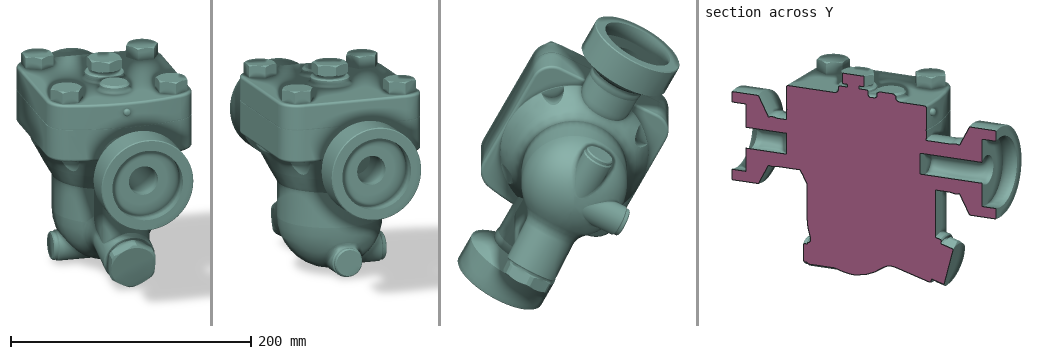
import cadquery as cq
import math


bowl_radius = 44.0
dome_center_z = -62.5
cone_bottom_z = -32.2
cone_middle_z = -19.0
cone_middle_radius = 51.7
cone_top_z = -0.2
cone_top_radius = 61.7

half_width = 62.5
corner_radius = 17.2
bowed_corner_radius = 19.0
corner_center = half_width - corner_radius
bow_reach = 69.0
bow_reach_bottom = 67.5
flange_bottom_z = 1.5
joint_z = 29.5
cover_top_z = 51.2
gasket_thickness = 0.7
gasket_inset = 0.5
cover_fillet = 2.2
flange_fillet = 2.2

bolt_flats = 24.0
bolt_head_height = 10.5
nut_relief_diameter = 21.0
nut_relief_depth = 19.7

boss_height = 6.5
boss_base_fillet = 3.0
main_boss_diameter = 33.0
main_boss_chamfer = 1.0
side_boss_diameter = 25.0
side_boss_top_diameter = 22.0
side_boss_x = 31.0
bridge_width = 14.8
bridge_height = 3.7
plug_neck_diameter = 21.0
plug_neck_height = 2.0
plug_flats = 26.5
plug_height = 9.5
plug_chamfer_diameter = 26.0
pin_diameter = 6.5
pin_end_x = 72.3
pin_end_fillet = 2.5
pin_z = 43.3

inlet_x = -113.0
outlet_x = 133.0
end_diameter = 79.5
end_length = 24.8
end_chamfer = 0.7
taper_length = 9.3
weld_length = 7.6
weld_bulge = 0.7
pipe_diameter = 46.0
socket_diameter = 61.0
socket_depth = 13.0
bore_diameter = 25.0

tube_angle = 15.0
tube_diameter = 44.0
tube_length = 80.2
tube_chamfer = 1.0
tube_blend = 15.0
cap_neck_diameter = 38.0
cap_start = 82.0
cap_flats = 38.0
cap_height = 10.3
cap_corner_diameter = 41.8
rib_half_width = 20.2
rib_end_x = 77.0
rib_edge_radius = 11.8
rib_bottom_z = -76.3

drain_z = -92.7
drain_diameter = 26.0
drain_reach = 44.0
drain_chamfer = 2.0
drain_plug_diameter = 24.0
drain_plug_reach = 46.5
drain_plug_chamfer = 1.0
drain_blend = 3.5


def cylinder(origin, direction, diameter, length):
    plane = cq.Plane(origin=origin, normal=direction)
    return cq.Workplane(plane).circle(diameter / 2).extrude(length)


def hex_prism(flats, height, chamfer_diameter, both_ends, corner_diameter=None):
    """Hexagon standing on Z = 0 whose end corners are turned off at 30 degrees.

    A corner diameter also rounds the six upright corners down to that diameter.
    """
    across_corners = flats / math.cos(math.radians(30))
    prism = cq.Workplane("XY").polygon(6, across_corners).extrude(height)
    top_radius = chamfer_diameter / 2
    outer_radius = (corner_diameter or across_corners) / 2
    drop = (outer_radius - top_radius) * math.tan(math.radians(30))
    turned = cq.Workplane("XZ")
    if both_ends:
        turned = turned.moveTo(0, 0).lineTo(top_radius, 0).lineTo(outer_radius, drop)
    else:
        turned = turned.moveTo(0, 0).lineTo(outer_radius, 0)
    turned = turned.lineTo(outer_radius, height - drop).lineTo(top_radius, height).lineTo(0, height)
    turned = turned.close().revolve(360, (0, 0, 0), (0, 1, 0))
    return prism.intersect(turned)


def square_outline(z, reach, inset=0):
    """Rounded square with its +X side bowed out to the given reach, shrunk evenly by the inset.

    The bowed arc runs tangent into both corner arcs.
    """
    side = half_width - inset
    plain_radius = corner_radius - inset
    plain_mid = corner_center + plain_radius * math.sqrt(0.5)
    bowed_center = half_width - bowed_corner_radius
    bowed_radius = bowed_corner_radius - inset
    overhang = reach - bowed_center
    bow_radius = ((overhang**2 + bowed_center**2 - bowed_corner_radius**2)
                  / (2 * (overhang - bowed_corner_radius)))
    bow_angle = math.atan2(bowed_center, bow_radius - overhang)
    tangent_x = bowed_center + bowed_radius * math.cos(bow_angle)
    tangent_y = bowed_center + bowed_radius * math.sin(bow_angle)
    mid_angle = (bow_angle + math.pi / 2) / 2
    mid_x = bowed_center + bowed_radius * math.cos(mid_angle)
    mid_y = bowed_center + bowed_radius * math.sin(mid_angle)
    return (
        cq.Workplane("XY", origin=(0, 0, z))
        .moveTo(-corner_center, -side)
        .lineTo(bowed_center, -side)
        .threePointArc((mid_x, -mid_y), (tangent_x, -tangent_y))
        .threePointArc((reach - inset, 0), (tangent_x, tangent_y))
        .threePointArc((mid_x, mid_y), (bowed_center, side))
        .lineTo(-corner_center, side)
        .threePointArc((-plain_mid, plain_mid), (-side, corner_center))
        .lineTo(-side, -corner_center)
        .threePointArc((-plain_mid, -plain_mid), (-corner_center, -side))
        .close()
    )


def make_bowl():
    return (
        cq.Workplane("XZ")
        .moveTo(0, dome_center_z - bowl_radius)
        .radiusArc((bowl_radius, dome_center_z), -bowl_radius)
        .lineTo(bowl_radius, cone_bottom_z)
        .lineTo(cone_middle_radius, cone_middle_z)
        .lineTo(cone_top_radius, cone_top_z)
        .lineTo(cone_top_radius, flange_bottom_z + flange_fillet)
        .lineTo(0, flange_bottom_z + flange_fillet)
        .close()
        .revolve(360, (0, 0, 0), (0, 1, 0))
    )


def make_body_flange():
    """Lower flange; its bowed side leans inward toward the bottom."""
    bottom = square_outline(flange_bottom_z, bow_reach_bottom).wires().val()
    top = square_outline(joint_z, bow_reach).wires().val()
    flange = cq.Workplane(cq.Solid.makeLoft([bottom, top], True))
    return flange.faces("<Z").edges().fillet(flange_fillet)


def make_cover():
    gasket = square_outline(joint_z, bow_reach, gasket_inset).extrude(gasket_thickness)
    cover_bottom = joint_z + gasket_thickness
    cover = square_outline(cover_bottom, bow_reach).extrude(cover_top_z - cover_bottom)
    cover = cover.faces(">Z").edges().fillet(cover_fillet)
    cover = add_cover_bosses(cover)
    return cover.union(gasket)


def add_cover_bosses(cover):
    """Two round bosses joined by a low bridge, with a common fillet at their foot."""
    up = (0, 0, 1)
    main_boss = cylinder((0, 0, cover_top_z), up, main_boss_diameter, boss_height)
    main_boss = main_boss.faces(">Z").chamfer(main_boss_chamfer)
    side_boss = cylinder((side_boss_x, 0, cover_top_z), up, side_boss_diameter, boss_height)
    side_boss = side_boss.faces(">Z").chamfer((side_boss_diameter - side_boss_top_diameter) / 2)
    bridge = cq.Workplane("XY", origin=(side_boss_x / 2, 0, cover_top_z))
    bridge = bridge.rect(side_boss_x, bridge_width).extrude(bridge_height)
    bosses = main_boss.union(side_boss).union(bridge)
    foot_margin = boss_base_fillet / 10
    foot = cq.selectors.BoxSelector(
        (-main_boss_diameter, -main_boss_diameter, cover_top_z - foot_margin),
        (side_boss_x + side_boss_diameter, main_boss_diameter, cover_top_z + foot_margin),
    )
    return cover.union(bosses).edges(foot).fillet(boss_base_fillet)


def add_cover_hardware(part):
    neck_z = cover_top_z + boss_height
    part = part.union(cylinder((0, 0, neck_z), (0, 0, 1), plug_neck_diameter, plug_neck_height))
    plug = hex_prism(plug_flats, plug_height, plug_chamfer_diameter, True)
    part = part.union(plug.translate((0, 0, neck_z + plug_neck_height)))
    for side_x in (-1, 1):
        for side_y in (-1, 1):
            corner_angle = 0 if side_x == side_y else 30
            head = hex_prism(bolt_flats, bolt_head_height, bolt_flats, False)
            head = head.rotate((0, 0, 0), (0, 0, 1), corner_angle)
            part = part.union(head.translate((side_x * corner_center, side_y * corner_center, cover_top_z)))
    pin = cylinder((corner_center, 0, pin_z), (1, 0, 0), pin_diameter, pin_end_x - corner_center)
    return part.union(pin.faces(">X").edges().fillet(pin_end_fillet))


def cut_nut_reliefs(bowl):
    for side_x in (-1, 1):
        for side_y in (-1, 1):
            origin = (side_x * corner_center, side_y * corner_center, cone_top_z)
            relief = cylinder(origin, (0, 0, -1), nut_relief_diameter, nut_relief_depth)
            bowl = bowl.cut(relief)
    return bowl


def make_end(end_x):
    """Pipe with weld bead, tapered hub and end ring, from the bowl axis out to end_x."""
    out = math.copysign(1, end_x)
    ring_start = end_x - out * end_length
    weld_outer = ring_start - out * taper_length
    weld_inner = weld_outer - out * weld_length
    pipe_radius = pipe_diameter / 2
    end_radius = end_diameter / 2
    return (
        cq.Workplane("XY")
        .lineTo(0, pipe_radius)
        .lineTo(weld_inner, pipe_radius)
        .threePointArc(((weld_inner + weld_outer) / 2, pipe_radius + weld_bulge), (weld_outer, pipe_radius))
        .lineTo(ring_start, end_radius)
        .lineTo(end_x - out * end_chamfer, end_radius)
        .lineTo(end_x, end_radius - end_chamfer)
        .lineTo(end_x, 0)
        .close()
        .revolve(360, (0, 0, 0), (1, 0, 0))
    )


def make_end_bore(end_x):
    """Welding socket and bore, reaching in as far as the side of the body flange."""
    inward = (-math.copysign(1, end_x), 0, 0)
    socket = cylinder((end_x, 0, 0), inward, socket_diameter, socket_depth)
    bore = cylinder((end_x, 0, 0), inward, bore_diameter, abs(end_x) - half_width)
    return socket.union(bore)


def make_strainer():
    """Sloping tube aimed at the dome center, blended into the dome, with a hexagon cap."""
    tube_radius = tube_diameter / 2
    blend_offset = tube_radius + tube_blend
    blend_reach = bowl_radius + tube_blend
    blend_end = math.sqrt(blend_reach**2 - blend_offset**2)
    dome_share = bowl_radius / blend_reach
    tube = (
        cq.Workplane("XZ")
        .lineTo(blend_offset * dome_share, 0)
        .lineTo(blend_offset * dome_share, blend_end * dome_share)
        .radiusArc((tube_radius, blend_end), tube_blend)
        .lineTo(tube_radius, tube_length - tube_chamfer)
        .lineTo(tube_radius - tube_chamfer, tube_length)
        .lineTo(0, tube_length)
        .close()
        .revolve(360, (0, 0, 0), (0, 1, 0))
    )
    neck = cylinder((0, 0, tube_length), (0, 0, 1), cap_neck_diameter, cap_start - tube_length)
    cap = hex_prism(cap_flats, cap_height, cap_flats, True, cap_corner_diameter)
    strainer = tube.union(neck).union(cap.translate((0, 0, cap_start)))
    strainer = strainer.rotate((0, 0, 0), (0, 1, 0), 90 + tube_angle)
    return strainer.translate((0, 0, dome_center_z))


def make_rib():
    rib = cq.Workplane("XY", origin=(rib_end_x / 2, 0, rib_bottom_z))
    rib = rib.rect(rib_end_x, 2 * rib_half_width).extrude(-rib_bottom_z)
    return rib.edges("|Z and >X").fillet(rib_edge_radius)


def make_drain(direction):
    boss = cylinder((0, 0, drain_z), direction, drain_diameter, drain_reach)
    side = "<X" if direction[0] else "<Y"
    boss = boss.faces(side).chamfer(drain_chamfer)
    plug = cylinder((0, 0, drain_z), direction, drain_plug_diameter, drain_plug_reach)
    return boss.union(plug.faces(side).chamfer(drain_plug_chamfer))


def add_drains(bowl):
    """Drain bosses toward -X and -Y; the -X one is blended where it leaves the dome."""
    bowl = bowl.union(make_drain((-1, 0, 0)))
    drain_radius = drain_diameter / 2
    root = cq.selectors.BoxSelector(
        (-0.9 * bowl_radius, -drain_radius, drain_z - 0.9 * drain_radius),
        (0, drain_radius, drain_z + drain_radius),
    )
    return bowl.edges(root).fillet(drain_blend).union(make_drain((0, -1, 0)))


result = add_drains(cut_nut_reliefs(make_bowl()))
result = result.union(make_rib()).union(make_strainer())
result = result.union(make_end(inlet_x)).union(make_end(outlet_x))
result = result.union(make_body_flange())
result = result.union(make_cover())
result = add_cover_hardware(result)
for end_x in (inlet_x, outlet_x):
    result = result.cut(make_end_bore(end_x))